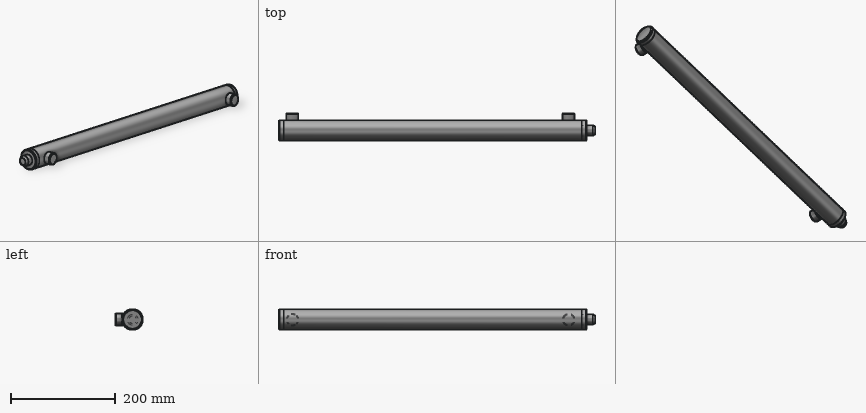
import cadquery as cq

overall_length = 605.0
barrel_diameter = 40.0

cap_length = 9.5
base_cap_chamfer = 2.5
head_cap_chamfer = 2.0
body_length = 588.5
barrel_length = body_length - 2 * cap_length

rod_diameter = 20.5
rod_taper_length = 5.5
rod_taper_depth = 3.0

port_diameter = 23.5
port_height = 13.5
port_chamfer = 2.0
port_positions = [26.0, 553.5]


def axial_cylinder(start, length, diameter):
    """Solid cylinder along X, beginning at X = start."""
    return cq.Workplane("YZ", origin=(start, 0, 0)).circle(diameter / 2).extrude(length)


def make_barrel():
    return axial_cylinder(cap_length, barrel_length, barrel_diameter)


def make_base_cap():
    """Cap on the -X end, chamfered at its outer rim."""
    return axial_cylinder(0, cap_length, barrel_diameter).faces("<X").chamfer(base_cap_chamfer)


def make_head_cap():
    """Cap on the +X end, chamfered at its outer rim and recessed for the rod."""
    start = body_length - cap_length
    cap = axial_cylinder(start, cap_length, barrel_diameter).faces(">X").chamfer(head_cap_chamfer)
    return cap.cut(axial_cylinder(start, cap_length, rod_diameter))


def make_rod():
    """Rod seated against the barrel, tapered at its free end."""
    start = body_length - cap_length
    rod = axial_cylinder(start, overall_length - start, rod_diameter)
    return rod.faces(">X").edges().chamfer(rod_taper_length, rod_taper_depth)


def make_port(position):
    """Port boss whose flat foot touches the barrel's +Y side."""
    port = cq.Workplane("XZ", origin=(position, barrel_diameter / 2, 0))
    port = port.circle(port_diameter / 2).extrude(-port_height)
    return port.faces(">Y").chamfer(port_chamfer)


barrel = make_barrel()
base_cap = make_base_cap()
head_cap = make_head_cap()
rod = make_rod()
ports = [make_port(position) for position in port_positions]

result = cq.Compound.makeCompound([
    barrel.val(),
    base_cap.val(),
    head_cap.val(),
    rod.val(),
    *[port.val() for port in ports],
])